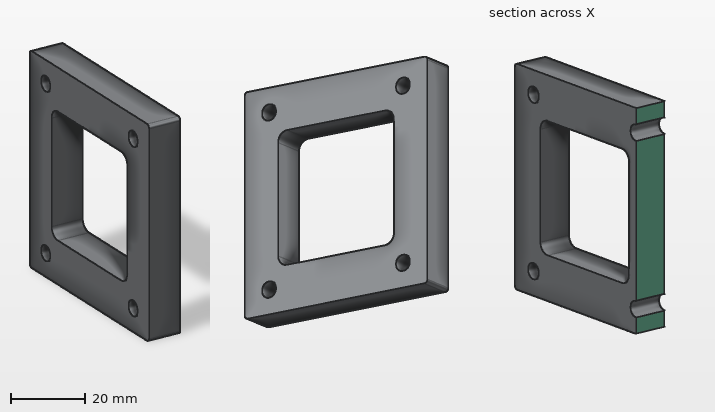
import cadquery as cq

width = 60.0
thickness = 10.0
height = 64.0
outer_corner_radius = 1.0

window_side = 38.0
window_corner_radius = 3.0

hole_diameter = 4.6
hole_spacing_x = 44.0
hole_spacing_z = 50.0


def rounded_block(size_x, size_z, corner_radius):
    """Block of plate thickness with its four Y-direction edges rounded."""
    return cq.Workplane("XY").box(size_x, thickness, size_z).edges("|Y").fillet(corner_radius)


plate = rounded_block(width, height, outer_corner_radius)
window = rounded_block(window_side, window_side, window_corner_radius)

result = (
    plate.cut(window)
    .faces("<Y")
    .workplane(centerOption="CenterOfBoundBox")
    .rect(hole_spacing_x, hole_spacing_z, forConstruction=True)
    .vertices()
    .hole(hole_diameter)
)